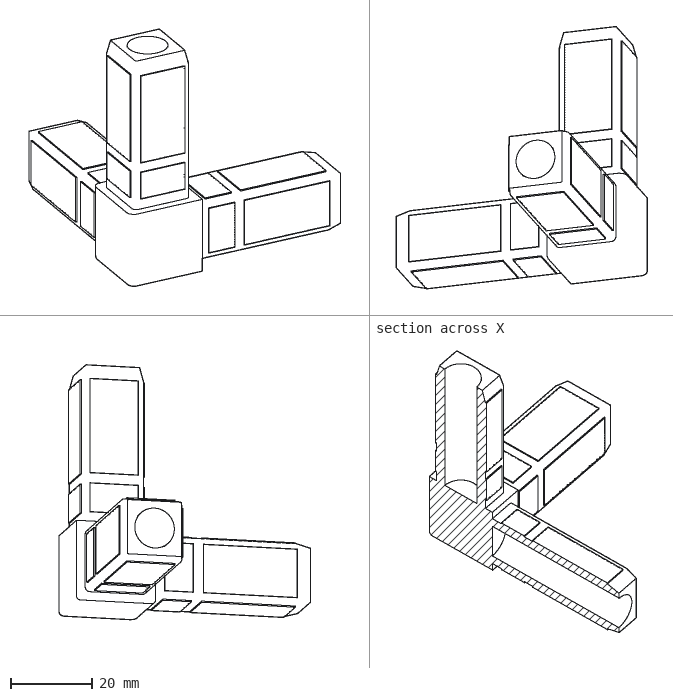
import cadquery as cq


overall_length = 60.0
hub_size = overall_length / 3
arm_length = overall_length - hub_size

hub_corner_radius = hub_size / 10
hub_base_radius = hub_corner_radius / 2

arm_width = 15.6
arm_corner_radius = 1.2
tip_length = 3.65
tip_taper_angle = 15.0
bore_diameter = 10.0

pad_width = 12.2
pad_span = 16.2
long_pad = (tip_length, 27.35)
short_pad = (29.95, 37.2)

arm_root_z = hub_size / 2
arm_tip_z = arm_root_z + arm_length
shank_length = arm_length - tip_length


def make_hub():
    """Cube with rounded -Y corners, and a rounded base edge on every side but +Y."""
    hub = cq.Workplane("XY").box(hub_size, hub_size, hub_size)
    hub = hub.edges("|Z and <Y").fillet(hub_corner_radius)
    return hub.faces("<Z").edges("not >Y").fillet(hub_base_radius)


def arm_section():
    """Rounded square cross-section of an arm."""
    return cq.Sketch().rect(arm_width, arm_width).vertices().fillet(arm_corner_radius)


def pad_pair(start, end):
    """Cross-shaped block that leaves one raised pad on each side of the arm."""
    pads = cq.Workplane("XY", origin=(0, 0, arm_tip_z - end))
    height = end - start
    along_x = pads.rect(pad_span, pad_width).extrude(height)
    along_y = pads.rect(pad_width, pad_span).extrude(height)
    return along_x.union(along_y)


def make_arm():
    """Solid arm rising along +Z from the top of the hub."""
    section = arm_section()
    shank = cq.Workplane("XY", origin=(0, 0, arm_root_z)).placeSketch(section).extrude(shank_length)
    tip = (
        cq.Workplane("XY", origin=(0, 0, arm_tip_z - tip_length))
        .placeSketch(section)
        .extrude(tip_length, taper=tip_taper_angle)
    )
    arm = shank.union(tip)
    for start, end in (long_pad, short_pad):
        arm = arm.union(pad_pair(start, end))
    bore = cq.Workplane("XY", origin=(0, 0, arm_root_z)).circle(bore_diameter / 2).extrude(arm_length)
    return arm.cut(bore)


upright_arm = make_arm()
x_arm = upright_arm.rotate((0, 0, 0), (0, 1, 0), -90)
y_arm = upright_arm.rotate((0, 0, 0), (1, 0, 0), -90)

result = make_hub()
for arm in (upright_arm, x_arm, y_arm):
    result = result.union(arm)